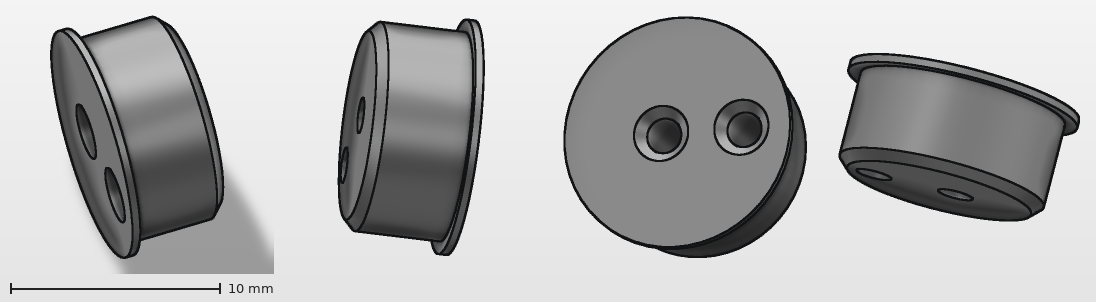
import cadquery as cq

flange_diameter = 11.27
flange_thickness = 0.4
body_diameter = 10.06
total_length = 5.0
end_chamfer = 0.5

hole_diameter = 1.7
countersink_diameter = 2.7
countersink_angle = 90
hole_spacing = 4.0
first_hole_x = -0.8
hole_positions = [(first_hole_x, 0), (first_hole_x + hole_spacing, 0)]


def disc(diameter, length):
    """Cylinder reaching from the flange face plane toward +Y."""
    return cq.Workplane("XZ").circle(diameter / 2).extrude(-length)


def make_plug():
    body = disc(body_diameter, total_length).faces(">Y").chamfer(end_chamfer)
    return body.union(disc(flange_diameter, flange_thickness))


def cut_holes(plug):
    return (
        plug.faces("<Y")
        .workplane(origin=(0, 0, 0))
        .pushPoints(hole_positions)
        .cskHole(hole_diameter, countersink_diameter, countersink_angle)
    )


result = cut_holes(make_plug())